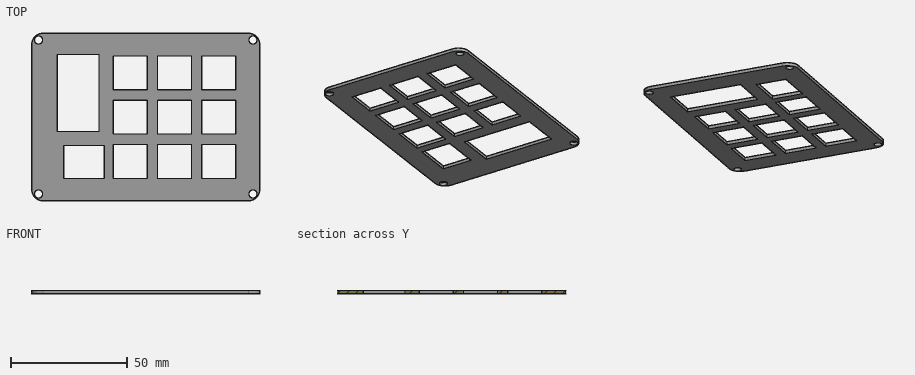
import cadquery as cq

PLATE_LENGTH = 98.26
PLATE_WIDTH = 72.25
PLATE_THICKNESS = 1.5
CORNER_RADIUS = 5.0

HOLE_DIAMETER = 3.4
HOLE_EDGE_DISTANCE = 3.0

KEY_SIZE = 14.5
KEY_PITCH = 19.05
KEY_COLUMNS = 3
KEY_ROWS = 3
KEY_GRID_CENTER_X = 12.34
KEY_GRID_CENTER_Y = -0.05

TALL_WINDOW_LENGTH = 17.8
TALL_WINDOW_WIDTH = 33.0
TALL_WINDOW_CENTER_X = -29.1
TALL_WINDOW_CENTER_Y = 10.3

SMALL_WINDOW_LENGTH = 17.3
SMALL_WINDOW_WIDTH = 14.0
SMALL_WINDOW_CENTER_X = -26.6
KEY_GRID_BOTTOM_Y = KEY_GRID_CENTER_Y - ((KEY_ROWS - 1) * KEY_PITCH + KEY_SIZE) / 2
SMALL_WINDOW_CENTER_Y = KEY_GRID_BOTTOM_Y + SMALL_WINDOW_WIDTH / 2


def make_plate():
    """Flat plate with rounded corners, centred on the Z axis and resting on Z = 0."""
    plate = cq.Workplane("XY").box(
        PLATE_LENGTH, PLATE_WIDTH, PLATE_THICKNESS, centered=(True, True, False)
    )
    return plate.edges("|Z").fillet(CORNER_RADIUS)


def make_mounting_holes():
    """Through-hole cutters at the four corners."""
    hole_spacing_x = PLATE_LENGTH - 2 * HOLE_EDGE_DISTANCE
    hole_spacing_y = PLATE_WIDTH - 2 * HOLE_EDGE_DISTANCE
    return (
        cq.Workplane("XY")
        .rarray(hole_spacing_x, hole_spacing_y, 2, 2)
        .circle(HOLE_DIAMETER / 2)
        .extrude(PLATE_THICKNESS)
    )


def make_key_cutouts():
    """Through cutters for the grid of square keys."""
    return (
        cq.Workplane("XY")
        .center(KEY_GRID_CENTER_X, KEY_GRID_CENTER_Y)
        .rarray(KEY_PITCH, KEY_PITCH, KEY_COLUMNS, KEY_ROWS)
        .rect(KEY_SIZE, KEY_SIZE)
        .extrude(PLATE_THICKNESS)
    )


def make_window(length, width, center_x, center_y):
    """Through cutter for one rectangular window."""
    return (
        cq.Workplane("XY")
        .center(center_x, center_y)
        .rect(length, width)
        .extrude(PLATE_THICKNESS)
    )


tall_window = make_window(
    TALL_WINDOW_LENGTH, TALL_WINDOW_WIDTH, TALL_WINDOW_CENTER_X, TALL_WINDOW_CENTER_Y
)
small_window = make_window(
    SMALL_WINDOW_LENGTH, SMALL_WINDOW_WIDTH, SMALL_WINDOW_CENTER_X, SMALL_WINDOW_CENTER_Y
)

result = (
    make_plate()
    .cut(make_mounting_holes())
    .cut(make_key_cutouts())
    .cut(tall_window)
    .cut(small_window)
)